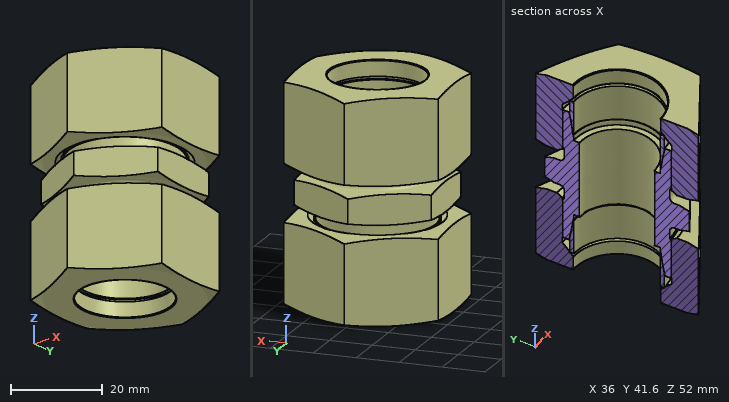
import cadquery as cq
import math


total_length = 52.0
half_length = total_length / 2

nut_across_flats = 36.0
nut_height = 20.0
nut_bore_diameter = 22.1
nut_mouth_diameter = 22.5
nut_bore_depth = 3.8
nut_bottom = half_length - nut_height

thread_diameter = 27.8
thread_countersink_diameter = 30.5
thread_countersink_depth = 0.8

body_across_flats = 32.0
body_hex_height = 7.0
body_half_length = 18.0
neck_diameter = 27.0
neck_fillet_radius = 1.2
neck_top = 6.75
undercut_angle = 30.0
passage_diameter = 19.0
tube_diameter = 22.0
tube_stop = 10.5
cone_start = 11.45
cone_mouth_diameter = 24.3

ring_bottom = 12.0
ring_top = 21.4

hex_chamfer_angle = 15.0


def revolve(points):
    """Solid of revolution about Z of a closed (radius, height) outline."""
    return cq.Workplane("XZ").polyline(points).close().revolve(360, (0, 0), (0, 1))


def chamfered_hexagon(across_flats, bottom, top):
    """Hexagonal prism with corners on the Y axis and both ends turned to a shallow cone."""
    flat_radius = across_flats / 2
    corner_radius = flat_radius / math.cos(math.pi / 6)
    corner_drop = (corner_radius - flat_radius) * math.tan(math.radians(hex_chamfer_angle))
    prism = (
        cq.Workplane("XY", origin=(0, 0, bottom))
        .transformed(rotate=(0, 0, 90))
        .polygon(6, 2 * corner_radius)
        .extrude(top - bottom)
    )
    turned_blank = revolve([
        (0, bottom),
        (flat_radius, bottom),
        (corner_radius, bottom + corner_drop),
        (corner_radius, top - corner_drop),
        (flat_radius, top),
        (0, top),
    ])
    return prism.intersect(turned_blank)


def make_nut():
    """Upper union nut, with its 45 degree inner shoulder pressing on the cutting ring."""
    bore_radius = nut_bore_diameter / 2
    mouth_radius = nut_mouth_diameter / 2
    thread_radius = thread_diameter / 2
    countersink_radius = thread_countersink_diameter / 2
    bore_bottom = half_length - nut_bore_depth
    cavity = revolve([
        (0, nut_bottom),
        (countersink_radius, nut_bottom),
        (thread_radius, nut_bottom + thread_countersink_depth),
        (thread_radius, bore_bottom - (thread_radius - bore_radius)),
        (bore_radius, bore_bottom),
        (bore_radius, half_length - (mouth_radius - bore_radius)),
        (mouth_radius, half_length),
        (0, half_length),
    ])
    return chamfered_hexagon(nut_across_flats, nut_bottom, half_length).cut(cavity)


def make_ring():
    """Upper cutting ring, tapered below to sit in the body cone and bevelled above to fit the nut."""
    inner_radius = tube_diameter / 2
    outer_radius = cone_mouth_diameter / 2
    cone_slope = (outer_radius - inner_radius) / (body_half_length - cone_start)
    nose_radius = inner_radius + cone_slope * (ring_bottom - cone_start)
    shoulder_height = half_length - nut_bore_depth + nut_bore_diameter / 2
    return revolve([
        (inner_radius, ring_bottom),
        (nose_radius, ring_bottom),
        (outer_radius, body_half_length),
        (outer_radius, shoulder_height - outer_radius),
        (shoulder_height - ring_top, ring_top),
        (inner_radius, ring_top),
    ])


def make_body_end():
    """Upper threaded end of the body, filleted into the hexagon."""
    neck_radius = neck_diameter / 2
    thread_radius = thread_diameter / 2
    thread_start = neck_top + (thread_radius - neck_radius) / math.tan(math.radians(undercut_angle))
    hex_face = body_hex_height / 2
    fillet_dip = neck_fillet_radius * math.sqrt(0.5)
    fillet_centre_radius = neck_radius + neck_fillet_radius
    fillet_centre_height = hex_face + neck_fillet_radius
    return (
        cq.Workplane("XZ")
        .moveTo(0, 0)
        .lineTo(fillet_centre_radius, 0)
        .lineTo(fillet_centre_radius, hex_face)
        .threePointArc(
            (fillet_centre_radius - fillet_dip, fillet_centre_height - fillet_dip),
            (neck_radius, fillet_centre_height),
        )
        .lineTo(neck_radius, neck_top)
        .lineTo(thread_radius, thread_start)
        .lineTo(thread_radius, body_half_length)
        .lineTo(0, body_half_length)
        .close()
        .revolve(360, (0, 0), (0, 1))
    )


def make_socket():
    """Upper half of the body bore: passage, tube stop, tube seat and ring cone."""
    return revolve([
        (0, 0),
        (passage_diameter / 2, 0),
        (passage_diameter / 2, tube_stop),
        (tube_diameter / 2, tube_stop),
        (tube_diameter / 2, cone_start),
        (cone_mouth_diameter / 2, body_half_length),
        (0, body_half_length),
    ])


def make_body():
    """Coupling body: a central hexagon with the same threaded end and socket above and below."""
    end = make_body_end()
    socket = make_socket()
    hexagon = chamfered_hexagon(body_across_flats, -body_hex_height / 2, body_hex_height / 2)
    outside = hexagon.union(end).union(end.mirror("XY"))
    return outside.cut(socket).cut(socket.mirror("XY"))


body = make_body()

nuts = []
rings = []
for turn in (0, 180):
    nuts.append(make_nut().rotate((0, 0, 0), (1, 0, 0), turn).val())
    rings.append(make_ring().rotate((0, 0, 0), (1, 0, 0), turn).val())

result = cq.Compound.makeCompound([body.val(), *nuts, *rings])